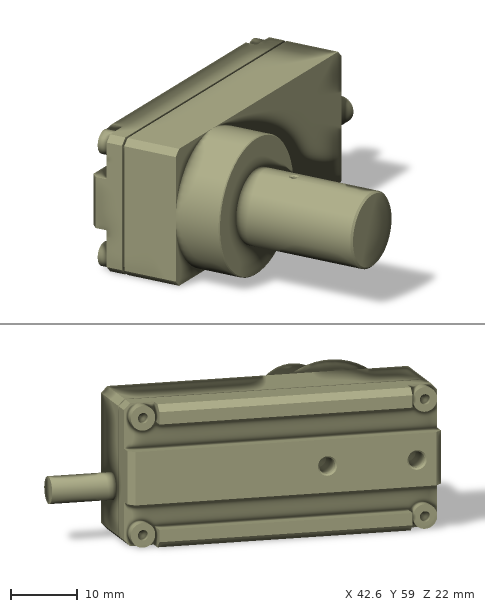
import cadquery as cq
import math


width = 22.0
length = 49.0
thickness = 14.9
edge_chamfer = 1.0
front_y = -width / 2
back_y = front_y + length
middle_y = (front_y + back_y) / 2

rail_height = 2.9
rail_width = 8.2
lip_width = 2.9
lip_end_inset = 4.7

groove_x = 5.55
groove_width = 0.4
groove_depth = 0.4

boss_diameter = width
boss_length = 7.6
shaft_diameter = 12.0
shaft_length = 20.1
boss_chamfer = 0.15
shaft_chamfer = 0.3
shaft_end_x = thickness + boss_length + shaft_length

set_hole_setback = 13.6
set_hole_diameter = 1.1
set_hole_depth = 2.0
set_hole_chamfer = 0.25

tapped_hole_offset = 7.0
tapped_hole_diameter = 2.5
tapped_hole_depth = 5.0
tapped_hole_chamfer = 0.25

screw_diameter = 3.8
screw_head_height = 1.9
screw_inset_y = 2.45
screw_inset_z = 2.0
socket_diameter = 1.6
socket_depth = 1.0

cable_diameter = 4.2
cable_length = 10.0
cable_x = 9.0
cable_z = -3.0

hole_tip_angle = math.radians(90)


def box_between(x_range, y_range, z_range):
    """Box spanning the given (low, high) range on each axis."""
    lows, highs = zip(x_range, y_range, z_range)
    size = [high - low for low, high in zip(lows, highs)]
    return cq.Workplane("XY").box(*size, centered=False).translate(lows)


def cylinder_x(x, y, z, diameter, depth):
    """Cylinder growing along +X from the given start point."""
    plane = cq.Plane(origin=(x, y, z), xDir=(0, 1, 0), normal=(1, 0, 0))
    return cq.Workplane(plane).circle(diameter / 2).extrude(depth)


def drilled_hole(origin, direction, diameter, depth, chamfer=0.0, tip=True):
    """Cutter for a hole with an optional countersunk mouth and conical tip."""
    radius = diameter / 2
    profile = cq.Workplane("XY").moveTo(0, 0).lineTo(radius + chamfer, 0)
    if chamfer:
        profile = profile.lineTo(radius, chamfer)
    profile = profile.lineTo(radius, depth)
    tip_length = radius / math.tan(hole_tip_angle / 2) if tip else 0.0
    solid = profile.lineTo(0, depth + tip_length).close().revolve(360, (0, 0, 0), (0, 1, 0))
    upright = solid.rotate((0, 0, 0), (1, 0, 0), 90).val()
    return cq.Workplane(upright.moved(cq.Plane(origin=origin, normal=direction).location))


def make_housing():
    housing = box_between((0, thickness), (front_y, back_y), (-width / 2, width / 2))
    housing = housing.edges("|X or <X").chamfer(edge_chamfer)
    rail_half = rail_width / 2
    lip_inner = width / 2 - lip_width
    for side in (1, -1):
        channel_z = sorted((side * rail_half, side * lip_inner))
        housing = housing.cut(box_between((0, rail_height), (front_y, back_y), channel_z))
        corner_z = sorted((side * lip_inner, side * width / 2))
        for corner_y in ((front_y, front_y + lip_end_inset), (back_y - lip_end_inset, back_y)):
            housing = housing.cut(box_between((0, rail_height), corner_y, corner_z))
    return housing


def make_groove():
    band = cq.Workplane("YZ", origin=(groove_x, middle_y, 0)).rect(length, width)
    band = band.extrude(groove_width)
    core = cq.Workplane("YZ", origin=(groove_x, middle_y, 0))
    core = core.rect(length - 2 * groove_depth, width - 2 * groove_depth)
    core = core.extrude(groove_width).edges("|X").chamfer(edge_chamfer)
    return band.cut(core)


def make_boss_and_shaft():
    boss = cylinder_x(thickness, 0, 0, boss_diameter, boss_length)
    shaft = cylinder_x(thickness, 0, 0, shaft_diameter, boss_length + shaft_length)
    boss = boss.faces(">X").chamfer(boss_chamfer)
    return boss.union(shaft.faces(">X").chamfer(shaft_chamfer))


def make_set_hole():
    mouth = (shaft_end_x - set_hole_setback, 0, shaft_diameter / 2)
    return drilled_hole(
        mouth, (0, 0, -1), set_hole_diameter, set_hole_depth, set_hole_chamfer, tip=False
    )


def make_screw(y, z):
    head_x = rail_height - screw_head_height
    head = cylinder_x(head_x, y, z, screw_diameter, screw_head_height)
    return head.cut(drilled_hole((head_x, y, z), (1, 0, 0), socket_diameter, socket_depth))


def make_cable():
    plane = cq.Plane(origin=(cable_x, back_y, cable_z), xDir=(1, 0, 0), normal=(0, 1, 0))
    return cq.Workplane(plane).circle(cable_diameter / 2).extrude(cable_length)


result = make_housing().cut(make_groove())
result = result.union(make_boss_and_shaft()).union(make_cable())
result = result.cut(make_set_hole())

for hole_y in (-tapped_hole_offset, tapped_hole_offset):
    result = result.cut(
        drilled_hole(
            (0, hole_y, 0), (1, 0, 0), tapped_hole_diameter, tapped_hole_depth, tapped_hole_chamfer
        )
    )

screw_z = width / 2 - screw_inset_z
for screw_y in (front_y + screw_inset_y, back_y - screw_inset_y):
    for side in (1, -1):
        result = result.union(make_screw(screw_y, side * screw_z))